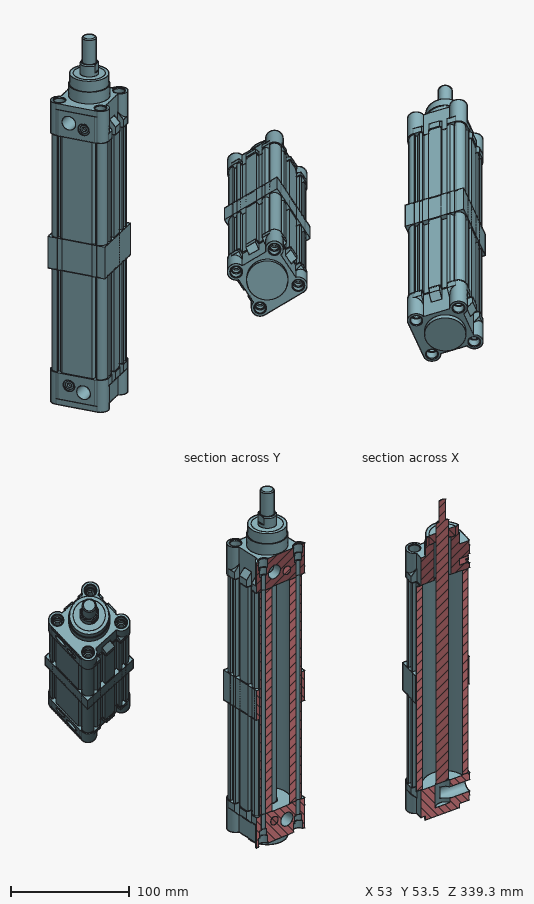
import cadquery as cq


total_height = 339.3
boss_height = 4.5
cap_height = 30.0
barrel_length = 220.5
collar_lower_height = 11.0
collar_upper_height = 10.0
rear_joint = boss_height + cap_height
front_joint = rear_joint + barrel_length
cap_top = front_joint + cap_height
collar_step = cap_top + collar_lower_height

cap_width = 53.0
cap_half = cap_width / 2
bolt_offset = 19.0
lobe_radius = cap_half - bolt_offset
recess_depth = 5.5
core_half = cap_half - recess_depth
boss_diameter = 35.0
collar_diameter = 33.3

block_height = 7.0
block_slope_height = 6.0
centre_block_width = 9.5

bolt_hole_diameter = 4.8
bolt_step_diameter = 7.5
bolt_head_diameter = 9.5
bolt_head_chamfer = 0.7
countersink_taper = 45.0
bolt_head_depth = 8.5
bolt_step_depth = 15.3

pad_width = 34.0
pad_base_width = 2 * bolt_offset
pad_height = 24.5
pad_thickness = 0.5
port_side = 6.8
port_diameter = 12.5
port_above_joint = 14.0
screw_above_joint = 10.2
screw_recess_diameter = 10.5
screw_recess_depth = 1.5
screw_diameter = 7.5
screw_length = 8.5
screw_socket_diameter = 4.0
screw_socket_depth = 2.7

rod_diameter = 16.0
stud_diameter = 12.0
stud_length = 23.5
rod_chamfer = 1.0
flat_width = 14.0
flat_length = 7.5
front_bore_diameter = 18.5
rear_bore_diameter = 17.0
rear_bore_depth = 24.5
bushing_diameter = 27.0

barrel_half = 25.5
barrel_corner_radius = barrel_half - bolt_offset
barrel_bore_diameter = 40.0
edge_groove_outer = 18.0
edge_groove_inner = 16.3
edge_groove_depth = 2.5
land_half = 14.0
sensor_groove_outer = 11.0
sensor_groove_inner = 5.5
sensor_groove_depth = 3.5

band_width = 52.5
band_height = 29.5

bolt_points = [(x, y) for x in (-bolt_offset, bolt_offset) for y in (-bolt_offset, bolt_offset)]


def cylinder(diameter, length, bottom=0.0):
    """Upright cylinder on the main axis."""
    return cq.Workplane("XY").workplane(offset=bottom).circle(diameter / 2).extrude(length)


def bolt_cylinders(diameter, length, bottom=0.0):
    """One upright cylinder at each bolt position."""
    plane = cq.Workplane("XY").workplane(offset=bottom)
    return plane.pushPoints(bolt_points).circle(diameter / 2).extrude(length)


def front_cylinder(x, z, diameter, y_start, length):
    """Cylinder that runs from y_start toward +Y."""
    plane = cq.Plane(origin=(x, y_start, z), xDir=(1, 0, 0), normal=(0, 1, 0))
    return cq.Workplane(plane).circle(diameter / 2).extrude(length)


def sloped_block(centre, width):
    """Block in the recess of the +X side, with a top that rises inward to the recess floor."""
    return (
        cq.Workplane("XZ", origin=(0, centre + width / 2, 0))
        .moveTo(bolt_offset, 0)
        .lineTo(cap_half, 0)
        .lineTo(cap_half, block_height)
        .lineTo(core_half, block_height + block_slope_height)
        .lineTo(bolt_offset, block_height + block_slope_height)
        .close()
        .extrude(width)
    )


def make_port_pad():
    """Raised pad on the -Y side, with side edges that slope up from the cap face."""
    pad_face = -cap_half - pad_thickness
    return (
        cq.Workplane("XY")
        .moveTo(-pad_base_width / 2, -cap_half)
        .lineTo(-pad_width / 2, pad_face)
        .lineTo(pad_width / 2, pad_face)
        .lineTo(pad_base_width / 2, -cap_half)
        .close()
        .extrude(pad_height)
    )


def make_cap_shell():
    """Cap above the joint plane z = 0, without bores, port or boss."""
    shell = cq.Workplane("XY").rect(2 * core_half, 2 * core_half).extrude(cap_height)
    shell = shell.union(bolt_cylinders(2 * lobe_radius, cap_height))
    front_wall = cq.Workplane("XY").box(2 * bolt_offset, cap_half, cap_height, centered=(True, False, False))
    shell = shell.union(front_wall.translate((0, -cap_half, 0)))
    shell = shell.union(make_port_pad())

    corner_block_centre = bolt_offset - lobe_radius / 2
    for angle in (0, 90, 180):
        for centre, width in (
            (-corner_block_centre, lobe_radius),
            (0, centre_block_width),
            (corner_block_centre, lobe_radius),
        ):
            shell = shell.union(sloped_block(centre, width).rotate((0, 0, 0), (0, 0, 1), angle))

    shell = shell.cut(bolt_cylinders(bolt_hole_diameter, cap_height))
    shell = shell.cut(bolt_cylinders(bolt_step_diameter, bolt_step_depth, cap_height - bolt_step_depth))
    head_holes = bolt_cylinders(bolt_head_diameter, bolt_head_depth, cap_height - bolt_head_depth)
    countersinks = (
        cq.Workplane("XY")
        .workplane(offset=cap_height)
        .pushPoints(bolt_points)
        .circle(bolt_head_diameter / 2 + bolt_head_chamfer)
        .extrude(-bolt_head_chamfer, taper=countersink_taper)
    )
    return shell.cut(head_holes).cut(countersinks)


def cut_port_and_screw_holes(cap, port_x, port_z, screw_z):
    """Port down to the axis plane, and a recessed hole that holds the cushion screw."""
    face = -cap_half - pad_thickness
    cap = cap.cut(front_cylinder(port_x, port_z, port_diameter, face, -face))
    cap = cap.cut(front_cylinder(-port_x, screw_z, screw_recess_diameter, face, screw_recess_depth))
    return cap.cut(front_cylinder(-port_x, screw_z, screw_diameter, face, screw_recess_depth + screw_length))


def make_front_cap():
    cap = make_cap_shell().translate((0, 0, front_joint))
    cap = cap.union(cylinder(boss_diameter, collar_lower_height, cap_top))
    cap = cap.union(cylinder(collar_diameter, collar_upper_height, collar_step))
    cap = cap.cut(cylinder(front_bore_diameter, collar_step - front_joint, front_joint))
    cap = cap.cut(cylinder(bushing_diameter, collar_upper_height, collar_step))
    return cut_port_and_screw_holes(
        cap, -port_side, front_joint + port_above_joint, front_joint + screw_above_joint
    )


def make_rear_cap():
    cap = make_cap_shell().mirror("XY").translate((0, 0, rear_joint))
    cap = cap.union(cylinder(boss_diameter, boss_height))
    cap = cap.cut(cylinder(rear_bore_diameter, rear_bore_depth, rear_joint - rear_bore_depth))
    return cut_port_and_screw_holes(
        cap, port_side, rear_joint - port_above_joint, rear_joint - screw_above_joint
    )


def make_cushion_screw(x, z):
    head = -cap_half - pad_thickness + screw_recess_depth
    screw = front_cylinder(x, z, screw_diameter, head, screw_length)
    return screw.cut(front_cylinder(x, z, screw_socket_diameter, head, screw_socket_depth))


def make_barrel_profile():
    """Barrel without bores: grooves beside the corners on every side, sensor grooves on all but -Y."""
    profile = (
        cq.Workplane("XY")
        .rect(2 * barrel_half, 2 * barrel_half)
        .extrude(barrel_length)
        .edges("|Z")
        .fillet(barrel_corner_radius)
    )
    groove_floor = barrel_half - edge_groove_depth
    sensor_width = sensor_groove_outer - sensor_groove_inner
    edge_groove = (
        cq.Workplane("XY")
        .polyline(
            [
                (barrel_half, edge_groove_outer),
                (groove_floor, edge_groove_outer),
                (groove_floor, edge_groove_inner),
                (barrel_half, land_half),
            ]
        )
        .close()
        .extrude(barrel_length)
    )
    sensor_groove = (
        cq.Workplane("XY")
        .rect(sensor_groove_depth, sensor_width, centered=False)
        .extrude(barrel_length)
        .translate((barrel_half - sensor_groove_depth, sensor_groove_inner, 0))
    )
    for angle in (0, 90, 180, 270):
        grooves = edge_groove if angle == 270 else edge_groove.union(sensor_groove)
        for side_grooves in (grooves, grooves.mirror("XZ")):
            profile = profile.cut(side_grooves.rotate((0, 0, 0), (0, 0, 1), angle))

    return profile.translate((0, 0, rear_joint))


def make_barrel():
    barrel = make_barrel_profile()
    barrel = barrel.cut(cylinder(barrel_bore_diameter, barrel_length, rear_joint))
    return barrel.cut(bolt_cylinders(bolt_hole_diameter, barrel_length, rear_joint))


def make_band():
    """Square band around the middle of the barrel, fitted to the barrel's grooved outline."""
    band_bottom = rear_joint + (barrel_length - band_height) / 2
    band = cq.Workplane("XY").workplane(offset=band_bottom).rect(band_width, band_width).extrude(band_height)
    return band.cut(make_barrel_profile())


def make_rod():
    """Rod with a stud on top and two wrench flats below its shoulder, from the rear cap up."""
    shoulder = total_height - stud_length
    rod = cylinder(rod_diameter, shoulder - rear_joint, rear_joint).faces(">Z").chamfer(rod_chamfer)
    for side in (-1, 1):
        flat_cutter = cq.Workplane("XY").rect(rod_diameter, rod_diameter).extrude(flat_length)
        flat_x = side * (flat_width + rod_diameter) / 2
        rod = rod.cut(flat_cutter.translate((flat_x, 0, shoulder - flat_length)))
    stud = cylinder(stud_diameter, stud_length, shoulder).faces(">Z").chamfer(rod_chamfer)
    return rod.union(stud)


def make_bushing():
    """Ring around the rod, flush with the top of the collar."""
    ring = cylinder(bushing_diameter, collar_upper_height, collar_step)
    return ring.cut(cylinder(rod_diameter, collar_upper_height, collar_step))


barrel = make_barrel()
band = make_band()
front_cap = make_front_cap()
rear_cap = make_rear_cap()
rod = make_rod()
bushing = make_bushing()
cushion_screws = [
    make_cushion_screw(port_side, front_joint + screw_above_joint),
    make_cushion_screw(-port_side, rear_joint - screw_above_joint),
]

result = cq.Compound.makeCompound(
    [
        barrel.val(),
        band.val(),
        front_cap.val(),
        rear_cap.val(),
        rod.val(),
        bushing.val(),
        *[screw.val() for screw in cushion_screws],
    ]
)